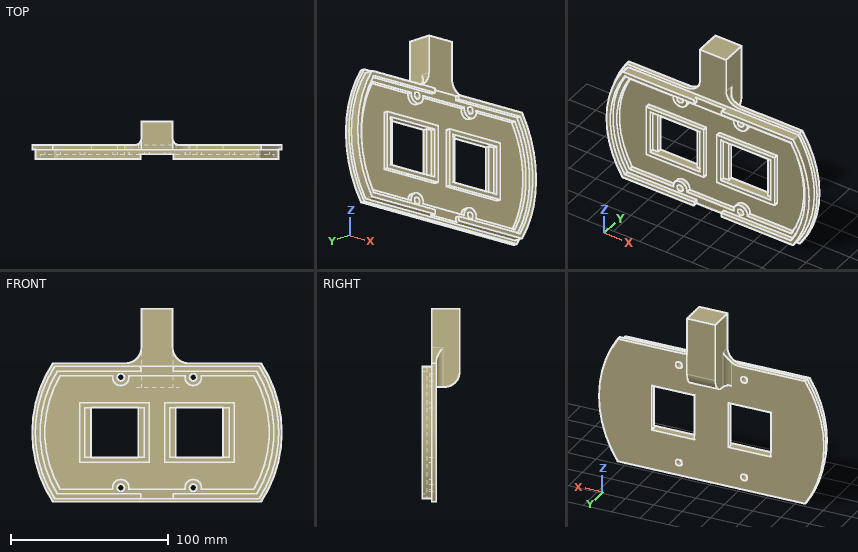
import cadquery as cq
import math

LENGTH = 158.5
TOTAL_HEIGHT = 122.5
TOTAL_DEPTH = 24.0

PLATE_HEIGHT = 88.0
PLATE_THICKNESS = 3.0
STRAIGHT_EDGE_LENGTH = 132.0

RIM_HEIGHT = 6.0
LEDGE_HEIGHT = 3.0
RIM_INSET = 2.0
WALL_THICKNESS = 3.0
RIM_CORNER_RADIUS = 1.0
NOTCH_WIDTH = 20.5
NOTCH_EDGE_RADIUS = 1.0

BOSS_RADIUS = 5.2
SCREW_HOLE_DIAMETER = 4.5
SCREW_SPACING_X = 46.0
SCREW_SPACING_Z = 70.0

WINDOW_SPACING = 53.9
FRAME_WIDTH = 43.9
FRAME_HEIGHT = 37.7
FRAME_RISE = 3.0
OPENING_WIDTH = 29.8

HANDLE_WIDTH = 20.0
HANDLE_LENGTH = 49.8
HANDLE_BOTTOM_RADIUS = 10.0
HANDLE_SIDE_FILLET = 10.0
HANDLE_BACK_FILLET = 4.0

plate_top = PLATE_HEIGHT / 2
handle_top = TOTAL_HEIGHT - plate_top
handle_bottom = handle_top - HANDLE_LENGTH
handle_back = TOTAL_DEPTH - RIM_HEIGHT
ledge_inset = RIM_INSET + WALL_THICKNESS
floor_inset = ledge_inset + WALL_THICKNESS
end_bow = (LENGTH - STRAIGHT_EDGE_LENGTH) / 2
end_radius = (plate_top**2 + end_bow**2) / (2 * end_bow)
end_centre = LENGTH / 2 - end_radius


def front_plane(y):
    """Sketch plane facing the front (-Y) with X right and Z up."""
    return cq.Workplane("XZ", origin=(0, y, 0))


def plate_outline(y, inset):
    """Plate outline moved inwards by inset; the end arcs stay concentric."""
    top = plate_top - inset
    radius = end_radius - inset
    corner = end_centre + math.sqrt(radius**2 - top**2)
    end = end_centre + radius
    return (
        front_plane(y)
        .moveTo(-corner, top)
        .lineTo(corner, top)
        .threePointArc((end, 0), (corner, -top))
        .lineTo(-corner, -top)
        .threePointArc((-end, 0), (-corner, top))
        .close()
    )


def concave_fillet_bar(plane, corner, side, radius, length):
    """Bar filling an inside corner; side is the direction (+1 or -1) it spreads in."""
    u, v = corner
    mid = radius * (1 - math.sqrt(0.5))
    return (
        plane.moveTo(u, v)
        .lineTo(u + side * radius, v)
        .threePointArc((u + side * mid, v + mid), (u, v + radius))
        .close()
        .extrude(length)
    )


def make_rim():
    """Outer wall with an inner ledge, notched at the middle of both long sides."""
    ledge = plate_outline(0, RIM_INSET).extrude(LEDGE_HEIGHT)
    ledge = ledge.edges("|Y").fillet(RIM_CORNER_RADIUS)

    wall_height = RIM_HEIGHT - LEDGE_HEIGHT
    wall = plate_outline(-LEDGE_HEIGHT, RIM_INSET).extrude(wall_height)
    wall = wall.edges("|Y").fillet(RIM_CORNER_RADIUS)
    wall = wall.cut(plate_outline(-LEDGE_HEIGHT, ledge_inset).extrude(wall_height))
    wall = wall.cut(front_plane(-LEDGE_HEIGHT).rect(NOTCH_WIDTH, PLATE_HEIGHT).extrude(wall_height))

    rim_top = plate_top - RIM_INSET
    for z in (-rim_top, rim_top):
        for x in (-NOTCH_WIDTH / 2, NOTCH_WIDTH / 2):
            edge_point = (x, -LEDGE_HEIGHT - wall_height / 2, z)
            wall = wall.edges(cq.selectors.NearestToPointSelector(edge_point)).fillet(NOTCH_EDGE_RADIUS)

    return ledge.cut(plate_outline(0, floor_inset).extrude(LEDGE_HEIGHT)).union(wall)


def make_handle():
    """Square bar behind the plate, blended into its top edge and its back face."""
    handle = (
        cq.Workplane("XY")
        .box(HANDLE_WIDTH, handle_back, HANDLE_LENGTH, centered=(True, False, False))
        .translate((0, 0, handle_bottom))
        .edges(">Y and <Z")
        .fillet(HANDLE_BOTTOM_RADIUS)
    )
    blend_top = plate_top + HANDLE_SIDE_FILLET
    blend_depth = PLATE_THICKNESS + HANDLE_BACK_FILLET
    back_plane = cq.Workplane("XY", origin=(0, 0, handle_bottom))
    below_plate_edge = cq.Workplane("XY").box(LENGTH, 2 * blend_depth, PLATE_HEIGHT)

    for side in (-1, 1):
        root = side * HANDLE_WIDTH / 2
        edge_corner = (root, plate_top)
        edge_blend = concave_fillet_bar(
            front_plane(PLATE_THICKNESS), edge_corner, side, HANDLE_SIDE_FILLET, PLATE_THICKNESS
        )
        back_blend = concave_fillet_bar(
            back_plane, (root, PLATE_THICKNESS), side, HANDLE_BACK_FILLET, blend_top - handle_bottom
        )
        outline = concave_fillet_bar(
            front_plane(blend_depth), edge_corner, side, HANDLE_SIDE_FILLET, blend_depth
        ).union(below_plate_edge)
        handle = handle.union(edge_blend).union(back_blend.intersect(outline))
    return handle


screw_points = [
    (sx * SCREW_SPACING_X / 2, sz * SCREW_SPACING_Z / 2) for sx in (-1, 1) for sz in (-1, 1)
]
window_points = [(-WINDOW_SPACING / 2, 0), (WINDOW_SPACING / 2, 0)]
pocket_width = FRAME_WIDTH - 2 * WALL_THICKNESS
pocket_height = FRAME_HEIGHT - 2 * WALL_THICKNESS
through_depth = PLATE_THICKNESS + RIM_HEIGHT

plate = plate_outline(PLATE_THICKNESS, 0).extrude(PLATE_THICKNESS)
bosses = front_plane(0).pushPoints(screw_points).circle(BOSS_RADIUS).extrude(LEDGE_HEIGHT)
frames = front_plane(0).pushPoints(window_points).rect(FRAME_WIDTH, FRAME_HEIGHT).extrude(FRAME_RISE)
pockets = front_plane(0).pushPoints(window_points).rect(pocket_width, pocket_height).extrude(FRAME_RISE)
openings = (
    front_plane(PLATE_THICKNESS)
    .pushPoints(window_points)
    .rect(OPENING_WIDTH, pocket_height)
    .extrude(through_depth)
)
screw_holes = (
    front_plane(PLATE_THICKNESS)
    .pushPoints(screw_points)
    .circle(SCREW_HOLE_DIAMETER / 2)
    .extrude(through_depth)
)

result = plate.union(make_rim()).union(bosses).union(frames).union(make_handle())
result = result.cut(pockets).cut(openings).cut(screw_holes)